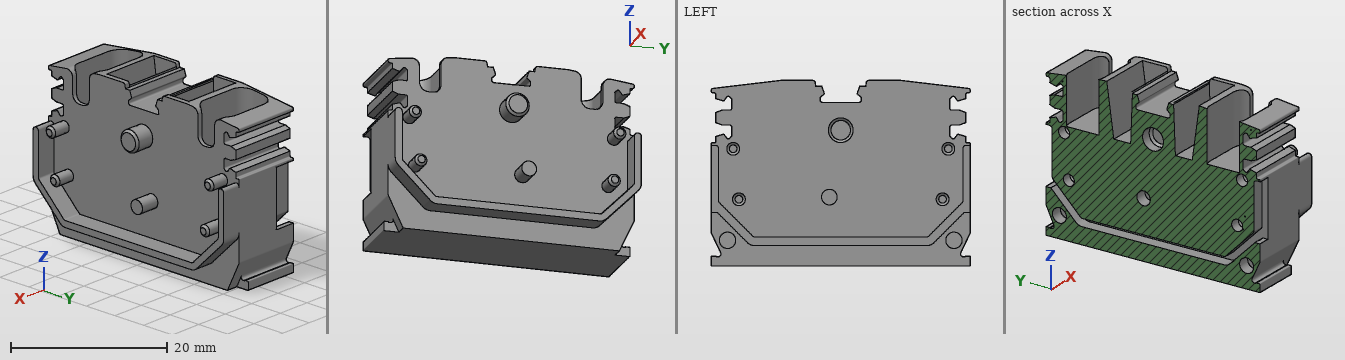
import cadquery as cq
import math

housing_width = 10.3
rim_height = 2.9
half_length = 16.6
total_height = 23.8
clearance = 1.0

side_top = 15.8
slope_start_z = 4.26
slope_start_radius = 0.5
neck_half = 15.15
neck_z = 1.2
neck_radius = 0.35
foot_height = 1.28
foot_radius = 0.12
foot_step_half = 15.95
foot_width = 8.55

comb_mid_z = 19.02
comb_tip_half = 16.03
comb_root_half = 13.97
tooth_tip_level = 0.65
tooth_shoulder_half = 15.2
tooth_root_level = 0.97
groove_edge_level = 2.42
groove_lip_half = 14.98
groove_lip_level = 2.1
groove_relief_half = 14.45
groove_relief_level = 2.82
groove_relief_radius = 0.25
groove_back_level = 2.4
comb_small_radius = 0.15
comb_root_radius = 0.25

top_flat_half = 7.65
brow_bottom = 22.17
brow_top = 22.74
brow_radius = 0.26
top_corner_half = 3.3
top_corner_radius = 0.35
step_outer_half = 3.18
step_inner_half = 2.42
step_z = 23.04
channel_lip_half = 2.08
channel_lip_z = 22.07
channel_lip_radius = 0.1
channel_pocket_half = 2.62
channel_pocket_top = 21.6
channel_floor = 20.98
channel_pocket_radius = 0.27

groove_depth = 3.2
core_half = 15.65
core_corner_z = 8.22
core_bottom = 3.7
core_corner_radius = 0.4
groove_top = 15.46
groove_top_radius = 0.4
groove_side_z = 6.85
groove_bottom = 2.61
groove_diagonal_half = 15.8
rim_corner_z = 7.83
rim_bottom = 2.73
rim_top = 15.2
outer_corner_radius = 1.4

upper_peg_half = 13.78
upper_peg_z = 15.02
lower_peg_half = 13.04
lower_peg_z = 8.55
corner_peg_places = [
    (-upper_peg_half, upper_peg_z),
    (upper_peg_half, upper_peg_z),
    (-lower_peg_half, lower_peg_z),
    (lower_peg_half, lower_peg_z),
]
corner_peg_radius = 0.82
center_peg_z = 17.4
center_peg_radius = 1.58
peg_chamfer = 0.33
plain_peg_place = (1.46, 8.83)
plain_peg_radius = 1.0
foot_hole_half = 14.5
foot_hole_z = 3.3
foot_hole_places = [(-foot_hole_half, foot_hole_z), (foot_hole_half, foot_hole_z)]
foot_hole_radius = 1.05

oval_near_x = 0.43
oval_far_x = 9.7
oval_inner_half = 8.17
oval_outer_half = 13.64
oval_radius = 1.95
oval_floor = 16.0
slot_near_x = 0.63
slot_far_x = 9.5
slot_inner_half = 3.2
slot_outer_half = 7.13
slot_floor_inner_half = 3.5
slot_floor_outer_half = 6.04
slot_floor = 16.0

notch_half_width = 1.455
notch_floor = 18.8
notch_floor_radius = 1.18
notch_rim_radius = 0.99


def side_plane(x):
    """Plane facing +X at the given X; its local axes are Y and Z."""
    return cq.Workplane("YZ", origin=(x, 0, 0))


def mirrored(half_points):
    """Close an outline from the points of its +Y half, listed from bottom to top."""
    return half_points + [(-y, z, *radius) for y, z, *radius in reversed(half_points)]


def rounded_outline(workplane, corners):
    """Closed outline through (Y, Z, radius) corners; each corner with a radius becomes a tangent arc."""
    path = None
    for index, (y, z, radius) in enumerate(corners):
        corner = cq.Vector(y, z)
        to_last = (cq.Vector(*corners[index - 1][:2]) - corner).normalized()
        to_next = (cq.Vector(*corners[(index + 1) % len(corners)][:2]) - corner).normalized()
        half_angle = to_last.getAngle(to_next) / 2
        setback = radius / math.tan(half_angle)
        start = (corner + to_last * setback).toTuple()[:2]
        path = path.lineTo(*start) if path else workplane.moveTo(*start)
        if radius:
            bisector = (to_last + to_next).normalized()
            middle = corner + bisector * (radius / math.sin(half_angle) - radius)
            end = corner + to_next * setback
            path = path.threePointArc(middle.toTuple()[:2], end.toTuple()[:2])
    return path.close()


def comb_corners():
    """Corners of the comb at the +Y end, from bottom to top."""
    upper = [
        (comb_tip_half, tooth_tip_level, 0),
        (tooth_shoulder_half, tooth_root_level, 0),
        (comb_root_half, tooth_root_level, comb_root_radius),
        (comb_root_half, groove_back_level, comb_root_radius),
        (groove_relief_half, groove_relief_level, groove_relief_radius),
        (groove_lip_half, groove_lip_level, comb_small_radius),
        (comb_tip_half, groove_edge_level, 0),
    ]
    above = [(y, comb_mid_z + level, radius) for y, level, radius in upper]
    below = [(y, comb_mid_z - level, radius) for y, level, radius in reversed(upper)]
    return below + above


def make_body():
    """Housing between its two side faces, without rim, wells or holes."""
    foot = [
        (half_length, 0, foot_radius),
        (half_length, foot_height, foot_radius),
        (foot_step_half, foot_height, 0),
        (foot_step_half, neck_z, 0),
        (neck_half, neck_z, neck_radius),
        (half_length, slope_start_z, slope_start_radius),
        (half_length, side_top, comb_small_radius),
        (comb_tip_half, side_top, comb_small_radius),
    ]
    top = [
        (comb_tip_half, brow_bottom, comb_small_radius),
        (half_length, brow_bottom, brow_radius),
        (half_length, brow_top, brow_radius),
        (top_flat_half, total_height, 0),
        (top_corner_half, total_height, top_corner_radius),
        (step_outer_half, step_z, 0),
        (step_inner_half, step_z, 0),
        (channel_lip_half, channel_lip_z, channel_lip_radius),
        (channel_pocket_half, channel_pocket_top, channel_pocket_radius),
        (channel_pocket_half, channel_floor, channel_pocket_radius),
    ]
    outline = mirrored(foot + comb_corners() + top)
    return rounded_outline(side_plane(0), outline).extrude(housing_width)


def foot_end_cut(side):
    """Beyond the foot the sloping side wall runs on down to the base."""
    slope = (half_length - neck_half) / (slope_start_z - neck_z)
    base_half = half_length - slope * slope_start_z
    points = [
        (side * base_half, 0),
        (side * half_length, slope_start_z),
        (side * half_length, 0),
    ]
    return side_plane(foot_width).polyline(points).close().extrude(housing_width - foot_width)


def core_prism(x, depth, top):
    """Prism inside the inner contour, reaching up to the given level."""
    corner_half = core_half - (core_corner_z - core_bottom)
    half = [(corner_half, core_bottom), (core_half, core_corner_z), (core_half, top)]
    prism = side_plane(x).polyline(mirrored(half)).close().extrude(depth)
    return prism.edges("|X").edges("not >Z").fillet(core_corner_radius)


def make_groove():
    """U-shaped groove in the -X face that takes the rim of the next block."""
    corner_half = groove_diagonal_half - (groove_side_z - groove_bottom)
    beyond = half_length + clearance
    half = [
        (corner_half, groove_bottom),
        (groove_diagonal_half, groove_side_z),
        (beyond, groove_side_z),
        (beyond, groove_top),
    ]
    outer = side_plane(0).polyline(mirrored(half)).close().extrude(groove_depth)
    outer = outer.edges("|X").edges("<Z").fillet(outer_corner_radius)
    groove = outer.cut(core_prism(0, groove_depth, groove_top))
    inner_top_corners = cq.selectors.BoxSelector(
        (-clearance, -half_length, groove_top - clearance),
        (groove_depth + clearance, half_length, groove_top + clearance),
    )
    return groove.edges("|X").edges(inner_top_corners).fillet(groove_top_radius)


def make_rim():
    """U-shaped rim on the +X face, with rounded upper ends."""
    round_radius = (half_length - core_half) / 2
    straight_top = rim_top - round_radius
    corner_half = half_length - (rim_corner_z - rim_bottom)
    half = [(corner_half, rim_bottom), (half_length, rim_corner_z), (half_length, straight_top)]
    outer = side_plane(housing_width).polyline(mirrored(half)).close().extrude(rim_height)
    outer = outer.edges("|X").edges("not >Z").fillet(outer_corner_radius)
    rim = outer.cut(core_prism(housing_width, rim_height, rim_top))
    for side in (-1, 1):
        rim_end = side_plane(housing_width).center(side * (half_length - round_radius), straight_top)
        rim = rim.union(rim_end.circle(round_radius).extrude(rim_height))
    return rim


def chamfered_pins(x, places, radius, length):
    pins = side_plane(x).pushPoints(places).circle(radius).extrude(length)
    return pins.faces(">X").chamfer(peg_chamfer)


def plain_pins(x, places, radius, length):
    return side_plane(x).pushPoints(places).circle(radius).extrude(length)


def all_pins(x, length):
    """Pins along +X, used as pegs on the +X face and as holes in the -X face."""
    return [
        chamfered_pins(x, corner_peg_places, corner_peg_radius, length),
        chamfered_pins(x, [(0, center_peg_z)], center_peg_radius, length),
        plain_pins(x, [plain_peg_place], plain_peg_radius, length),
    ]


def oval_well(side):
    """Round-cornered well near one end of the top."""
    length = oval_far_x - oval_near_x
    width = oval_outer_half - oval_inner_half
    center_x = (oval_far_x + oval_near_x) / 2
    center_y = side * (oval_outer_half + oval_inner_half) / 2
    floor = cq.Workplane("XY", origin=(center_x, center_y, oval_floor))
    well = floor.rect(length, width).extrude(total_height - oval_floor)
    return well.edges("|Z").fillet(oval_radius)


def slot_well(side):
    """Rectangular well beside the middle channel, narrowing towards its floor."""
    points = [
        (side * slot_floor_inner_half, slot_floor),
        (side * slot_floor_outer_half, slot_floor),
        (side * slot_outer_half, total_height),
        (side * slot_inner_half, total_height),
    ]
    return side_plane(slot_near_x).polyline(points).close().extrude(slot_far_x - slot_near_x)


def notch(side):
    """Notch whose rim is rounded where it meets the sloping top."""
    center = (oval_inner_half + oval_outer_half) / 2
    slope = (total_height - brow_top) / (half_length - top_flat_half)
    inner = center - notch_half_width
    outer = center + notch_half_width
    ends = (center - 2 * oval_radius, center + 2 * oval_radius)

    def top_z(y):
        return total_height - slope * (y - top_flat_half)

    roof = total_height + clearance
    corners = [
        (inner, notch_floor, notch_floor_radius),
        (outer, notch_floor, notch_floor_radius),
        (outer, top_z(outer), notch_rim_radius),
        (ends[1], top_z(ends[1]), 0),
        (ends[1], roof, 0),
        (ends[0], roof, 0),
        (ends[0], top_z(ends[0]), 0),
        (inner, top_z(inner), notch_rim_radius),
    ]
    start = (oval_near_x + oval_far_x) / 2
    outline = rounded_outline(side_plane(start), [(side * y, z, radius) for y, z, radius in corners])
    return outline.extrude(housing_width - start)


def make_housing():
    body = make_body().cut(make_groove())
    for side in (-1, 1):
        body = body.cut(foot_end_cut(side)).cut(oval_well(side)).cut(slot_well(side)).cut(notch(side))
    for hole in all_pins(0, groove_depth):
        body = body.cut(hole)
    body = body.cut(plain_pins(0, foot_hole_places, foot_hole_radius, groove_depth))
    body = body.union(make_rim())
    for peg in all_pins(housing_width, rim_height):
        body = body.union(peg)
    return body


housing = make_housing()

result = cq.Compound.makeCompound([housing.val()])